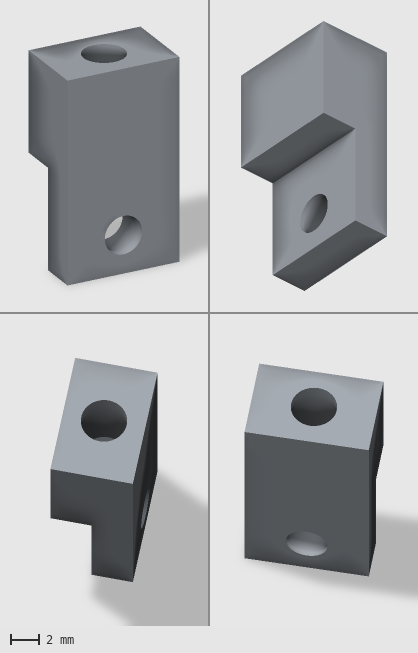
import cadquery as cq
import math

width = 6.0
depth = 9.0
height = 16.0

tongue_thickness = width / 2
tongue_height = height / 2

cross_hole_diameter = 3.0
cross_hole_height = 3.0

top_hole_diameter = 3.3
top_hole_straight_depth = 6.0
drill_point_angle = 118.0


def stepped_body():
    """L-shaped profile in XZ, centred on X and Y, standing on Z = 0."""
    left = -width / 2
    right = width / 2
    step = right - tongue_thickness
    profile = [
        (step, 0),
        (right, 0),
        (right, height),
        (left, height),
        (left, tongue_height),
        (step, tongue_height),
    ]
    return cq.Workplane("XZ").polyline(profile).close().extrude(depth / 2, both=True)


def cross_hole():
    """Cylinder along X that passes through the tongue."""
    return (
        cq.Workplane("YZ")
        .center(0, cross_hole_height)
        .circle(cross_hole_diameter / 2)
        .extrude(width)
    )


def top_hole():
    """Drilled hole with a conical end, revolved about the Z axis."""
    radius = top_hole_diameter / 2
    shoulder_z = height - top_hole_straight_depth
    tip_z = shoulder_z - radius / math.tan(math.radians(drill_point_angle / 2))
    half_section = [(0, height), (radius, height), (radius, shoulder_z), (0, tip_z)]
    return cq.Workplane("XZ").polyline(half_section).close().revolve(360, (0, 0), (0, 1))


result = stepped_body().cut(cross_hole()).cut(top_hole())